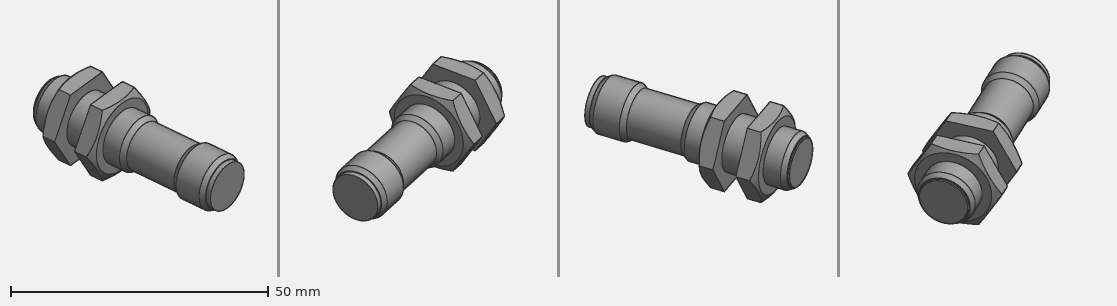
import cadquery as cq
import math

total_length = 44.5
body_diameter = 12.0
neck_diameter = 10.5
chamfer_angle = math.radians(30)

face_diameter = 10.4
face_length = 0.4
face_bevel = 0.2

spigot_diameter = 10.4
spigot_length = 1.1

end_chamfer_length = 1.1
neck_cone_length = 1.15

front_body_end = 22.4
neck_end = 35.4

nut_width_across_flats = 17.0
nut_thickness = 4.0
nut_crown_diameter = 16.0
front_nut_start = 5.25
nut_gap = 5.0

x_start = -total_length / 2


def turned_body():
    body_radius = body_diameter / 2
    neck_radius = neck_diameter / 2
    face_radius = face_diameter / 2
    spigot_radius = spigot_diameter / 2
    chamfer_radius = body_radius - end_chamfer_length * math.tan(chamfer_angle)
    spigot_start = total_length - spigot_length
    profile = [
        (0, 0),
        (0, face_radius - face_bevel),
        (face_bevel, face_radius),
        (face_length, face_radius),
        (face_length, chamfer_radius),
        (face_length + end_chamfer_length, body_radius),
        (front_body_end, body_radius),
        (front_body_end + neck_cone_length, neck_radius),
        (neck_end, neck_radius),
        (neck_end + neck_cone_length, body_radius),
        (spigot_start - end_chamfer_length, body_radius),
        (spigot_start, chamfer_radius),
        (spigot_start, spigot_radius),
        (total_length, spigot_radius),
        (total_length, 0),
    ]
    body = cq.Workplane("XY").polyline(profile).close().revolve(360, (0, 0, 0), (1, 0, 0))
    return body.translate((x_start, 0, 0))


def hexagon_nut():
    """Nut from x = 0 to its thickness, corners on +Y and -Y, crowned on the x = 0 side."""
    corner_radius = nut_width_across_flats / 2 / math.cos(math.pi / 6)
    crown_radius = nut_crown_diameter / 2
    crown_depth = (corner_radius - crown_radius) * math.tan(chamfer_angle)
    prism = cq.Workplane("YZ").polygon(6, 2 * corner_radius).extrude(nut_thickness)
    crown_profile = [
        (0, 0),
        (0, crown_radius),
        (crown_depth, corner_radius),
        (nut_thickness, corner_radius),
        (nut_thickness, 0),
    ]
    crown = cq.Workplane("XY").polyline(crown_profile).close().revolve(360, (0, 0, 0), (1, 0, 0))
    return prism.intersect(crown)


front_nut_x = x_start + front_nut_start
gap_centre_x = front_nut_x + nut_thickness + nut_gap / 2
front_nut = hexagon_nut().translate((front_nut_x, 0, 0))
rear_nut = front_nut.mirror("YZ", (gap_centre_x, 0, 0))

result = turned_body().union(front_nut).union(rear_nut)